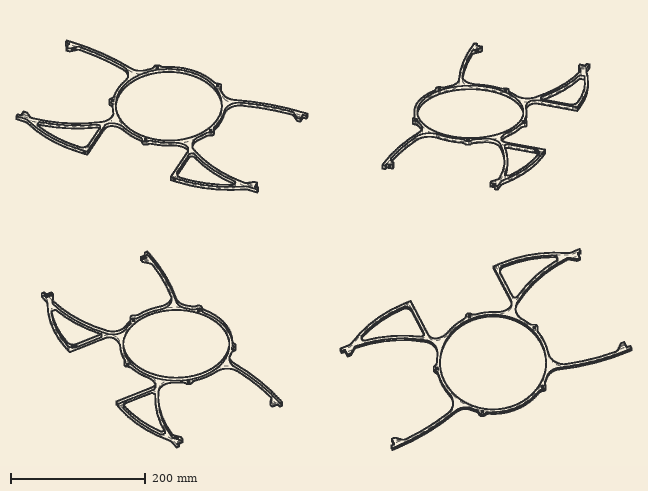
import cadquery as cq
import math


THICKNESS = 6.3
WALL = 4.7
RING_RADIUS = 84.0
BORE_RADIUS = RING_RADIUS - WALL

BOSS_COUNT = 5
BOSS_RADIUS = 5.0
BOSS_CIRCLE_RADIUS = RING_RADIUS + 0.5
BOSS_BLEND = 8.0
FIRST_BOSS_ANGLE = -90
SCREW_HOLE_DIAMETER = 3.0

TIP_X = 197.0
STEP_X = 191.5
PAD_FLAT_X = 186.0
PAD_ROOT_X = 175.5
PAD_CORNER_BLEND = 3.0
PAD_ROOT_BLEND = 6.0
PIN_HOLE_DIAMETER = 3.0

UPPER_TIP_TOP = 67.0
UPPER_PAD_END = 52.5
UPPER_PIN_Y = 57.0
UPPER_RADIUS = 346.5
UPPER_CENTER = (STEP_X, UPPER_TIP_TOP - UPPER_RADIUS)
UPPER_ROOT_X = 63.0
UPPER_TOP_ANGLE = 33
UPPER_UNDER_ANGLE = 29
UPPER_TOP_BLEND = 21.5
UPPER_UNDER_BLEND = 23.5

LOWER_TIP_BOTTOM = -116.5
LOWER_PAD_END = -102.8
LOWER_PIN_Y = -107.5
INNER_RADIUS = 193.0
INNER_CENTER = (187.0, 82.0)
INNER_ROOT_X = 51.0
FRAME_BOTTOM = -144.5
STRUT_X = 68.0
OUTER_START_X = 81.0
OUTER_RADIUS = 189.0
OUTER_CENTER = (OUTER_START_X, FRAME_BOTTOM + OUTER_RADIUS)
OUTER_TIP_X = OUTER_CENTER[0] + math.sqrt(OUTER_RADIUS**2 - (OUTER_CENTER[1] - LOWER_TIP_BOTTOM)**2)
HUB_RADIUS = 25.5
HUB_ANGLE = -61.4
STRUT_BLEND = 12.0
LOWER_LEG_ANGLE = -46
LOWER_LEG_BLEND = 21.5
TIP_BLEND = 12.0
FRAME_PIN_X = 73.5

WINDOW_START_X = STRUT_X + WALL
WINDOW_END_X = 160.5
WINDOW_BOTTOM_BLEND = 10.2
WINDOW_TOP_BLEND = 4.7
WINDOW_END_BLEND = 2.0


def arc_point(center, radius, x, side):
    """Point at x on the upper (side 1) or lower (side -1) half of a circle."""
    return (x, center[1] + side * math.sqrt(radius**2 - (x - center[0])**2))


def arc_to(outline, center, radius, x_start, x_end, side):
    """Continue an outline along a circle between two X positions."""
    middle = arc_point(center, radius, (x_start + x_end) / 2, side)
    return outline.threePointArc(middle, arc_point(center, radius, x_end, side))


def blend(body, corner, radius):
    """Round the upright edge nearest to a corner."""
    point = (corner[0], corner[1], THICKNESS / 2)
    return body.edges("|Z").edges(cq.NearestToPointSelector(point)).fillet(radius)


def ring_point(angle, radius):
    return (radius * math.cos(math.radians(angle)), radius * math.sin(math.radians(angle)))


def disk(center, radius):
    return cq.Workplane("XY").center(*center).circle(radius).extrude(THICKNESS)


def pin_hole(x, y, direction, length):
    """Round cutter lying in the middle of the plate thickness."""
    start = cq.Vector(x, y, THICKNESS / 2)
    return cq.Workplane(cq.Solid.makeCylinder(PIN_HOLE_DIAMETER / 2, length, start, cq.Vector(*direction)))


def upper_leg():
    under_radius = UPPER_RADIUS - WALL
    tip_under = UPPER_TIP_TOP - WALL
    pad_root = arc_point(UPPER_CENTER, under_radius, PAD_ROOT_X, 1)
    pad_corner = (PAD_FLAT_X, UPPER_PAD_END)

    outline = cq.Workplane("XY").moveTo(*arc_point(UPPER_CENTER, UPPER_RADIUS, UPPER_ROOT_X, 1))
    outline = arc_to(outline, UPPER_CENTER, UPPER_RADIUS, UPPER_ROOT_X, STEP_X, 1)
    outline = outline.lineTo(TIP_X, UPPER_TIP_TOP).lineTo(TIP_X, tip_under).lineTo(STEP_X, tip_under)
    outline = outline.lineTo(STEP_X, UPPER_PAD_END).lineTo(*pad_corner).lineTo(*pad_root)
    outline = arc_to(outline, UPPER_CENTER, under_radius, PAD_ROOT_X, UPPER_ROOT_X, 1)
    leg = outline.close().extrude(THICKNESS)

    leg = blend(leg, pad_corner, PAD_CORNER_BLEND)
    leg = blend(leg, pad_root, PAD_ROOT_BLEND)
    return leg.cut(pin_hole(STEP_X, UPPER_PIN_Y, (-1, 0, 0), STEP_X - PAD_ROOT_X))


def lower_leg():
    tip_top = LOWER_TIP_BOTTOM + WALL
    pad_root = arc_point(INNER_CENTER, INNER_RADIUS, PAD_ROOT_X, -1)
    pad_corner = (PAD_FLAT_X, LOWER_PAD_END)
    tip_corner = (OUTER_TIP_X, LOWER_TIP_BOTTOM)
    hub_center = ring_point(HUB_ANGLE, RING_RADIUS + HUB_RADIUS)
    hub_start_x = ring_point(HUB_ANGLE, RING_RADIUS)[0]
    strut_top = arc_point(hub_center, HUB_RADIUS, STRUT_X, 1)

    outline = cq.Workplane("XY").moveTo(*arc_point(INNER_CENTER, INNER_RADIUS, INNER_ROOT_X, -1))
    outline = arc_to(outline, INNER_CENTER, INNER_RADIUS, INNER_ROOT_X, PAD_ROOT_X, -1)
    outline = outline.lineTo(*pad_corner).lineTo(STEP_X, LOWER_PAD_END).lineTo(STEP_X, tip_top)
    outline = outline.lineTo(TIP_X, tip_top).lineTo(TIP_X, LOWER_TIP_BOTTOM).lineTo(*tip_corner)
    outline = arc_to(outline, OUTER_CENTER, OUTER_RADIUS, OUTER_TIP_X, OUTER_START_X, -1)
    outline = outline.lineTo(STRUT_X, FRAME_BOTTOM).lineTo(*strut_top)
    outline = arc_to(outline, hub_center, HUB_RADIUS, STRUT_X, hub_start_x, 1)
    leg = outline.close().extrude(THICKNESS)

    leg = blend(leg, pad_corner, PAD_CORNER_BLEND)
    leg = blend(leg, pad_root, PAD_ROOT_BLEND)
    leg = blend(leg, tip_corner, TIP_BLEND)
    leg = blend(leg, strut_top, STRUT_BLEND)
    leg = leg.cut(window())
    leg = leg.cut(pin_hole(STEP_X, LOWER_PIN_Y, (-1, 0, 0), STEP_X - PAD_ROOT_X))
    return leg.cut(pin_hole(FRAME_PIN_X, FRAME_BOTTOM, (0, 1, 0), WALL + WINDOW_BOTTOM_BLEND))


def window():
    top_radius = INNER_RADIUS + WALL
    bottom_radius = OUTER_RADIUS - WALL
    bottom_corner = (WINDOW_START_X, FRAME_BOTTOM + WALL)
    top_corner = arc_point(INNER_CENTER, top_radius, WINDOW_START_X, -1)
    end_top = arc_point(INNER_CENTER, top_radius, WINDOW_END_X, -1)
    end_bottom = arc_point(OUTER_CENTER, bottom_radius, WINDOW_END_X, -1)

    outline = cq.Workplane("XY").moveTo(*top_corner)
    outline = arc_to(outline, INNER_CENTER, top_radius, WINDOW_START_X, WINDOW_END_X, -1)
    outline = outline.lineTo(*end_bottom)
    outline = arc_to(outline, OUTER_CENTER, bottom_radius, WINDOW_END_X, OUTER_START_X, -1)
    opening = outline.lineTo(*bottom_corner).close().extrude(THICKNESS)

    opening = blend(opening, bottom_corner, WINDOW_BOTTOM_BLEND)
    opening = blend(opening, top_corner, WINDOW_TOP_BLEND)
    opening = blend(opening, end_top, WINDOW_END_BLEND)
    return blend(opening, end_bottom, WINDOW_END_BLEND)


def legs_on_ring():
    """Ring with the two +X legs, blended together where they meet."""
    body = disk((0, 0), RING_RADIUS).union(upper_leg()).union(lower_leg())
    body = blend(body, ring_point(UPPER_TOP_ANGLE, RING_RADIUS), UPPER_TOP_BLEND)
    body = blend(body, ring_point(UPPER_UNDER_ANGLE, RING_RADIUS), UPPER_UNDER_BLEND)
    return blend(body, ring_point(LOWER_LEG_ANGLE, RING_RADIUS), LOWER_LEG_BLEND)


half = legs_on_ring()
result = half.union(half.mirror("YZ"))

boss_angles = [FIRST_BOSS_ANGLE + i * 360 / BOSS_COUNT for i in range(BOSS_COUNT)]
boss_centers = [ring_point(angle, BOSS_CIRCLE_RADIUS) for angle in boss_angles]
boss_half_angle = math.degrees(math.asin(BOSS_RADIUS / BOSS_CIRCLE_RADIUS))
for center in boss_centers:
    result = result.union(disk(center, BOSS_RADIUS))
for angle in boss_angles:
    for side in (-1, 1):
        result = blend(result, ring_point(angle + side * boss_half_angle, RING_RADIUS), BOSS_BLEND)

result = result.cut(disk((0, 0), BORE_RADIUS))
for center in boss_centers:
    result = result.cut(disk(center, SCREW_HOLE_DIAMETER / 2))